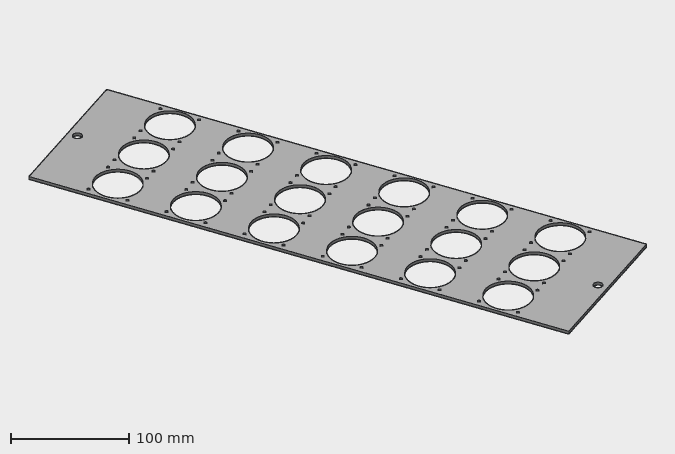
import cadquery as cq

LENGTH = 512.0
WIDTH = 146.0
THICKNESS = 3.0

GRID_SHIFT_X = 1.0
GRID_SHIFT_Y = 0.4
COLUMNS = 6
ROWS = 3
COLUMN_SPAN = 370.0
ROW_SPAN = 98.0
COLUMN_PITCH = COLUMN_SPAN / (COLUMNS - 1)
ROW_PITCH = ROW_SPAN / (ROWS - 1)
OPENING_DIAMETER = 43.0

SCREW_SPACING = 37.0
SCREW_DIAMETER = 2.5

MOUNT_EDGE_DISTANCE = 9.0
MOUNT_DIAMETER = 8.0
MOUNT_SPACING = LENGTH - 2 * MOUNT_EDGE_DISTANCE


def grid_centres(x_pitch, y_pitch, columns, rows):
    """Points of a rectangular grid placed symmetrically about the origin."""
    return [
        ((column - (columns - 1) / 2) * x_pitch, (row - (rows - 1) / 2) * y_pitch)
        for column in range(columns)
        for row in range(rows)
    ]


def through_cutters(centres, diameter):
    """Round cutters that pass through the full plate thickness."""
    return cq.Workplane("XY").pushPoints(centres).circle(diameter / 2).extrude(THICKNESS)


opening_centres = [
    (x + GRID_SHIFT_X, y + GRID_SHIFT_Y)
    for x, y in grid_centres(COLUMN_PITCH, ROW_PITCH, COLUMNS, ROWS)
]
screw_offsets = grid_centres(SCREW_SPACING, SCREW_SPACING, 2, 2)
screw_centres = [
    (x + dx, y + dy)
    for x, y in opening_centres
    for dx, dy in screw_offsets
]
mount_centres = grid_centres(MOUNT_SPACING, 0, 2, 1)

plate = cq.Workplane("XY").box(LENGTH, WIDTH, THICKNESS, centered=(True, True, False))

result = (
    plate
    .cut(through_cutters(opening_centres, OPENING_DIAMETER))
    .cut(through_cutters(screw_centres, SCREW_DIAMETER))
    .cut(through_cutters(mount_centres, MOUNT_DIAMETER))
)